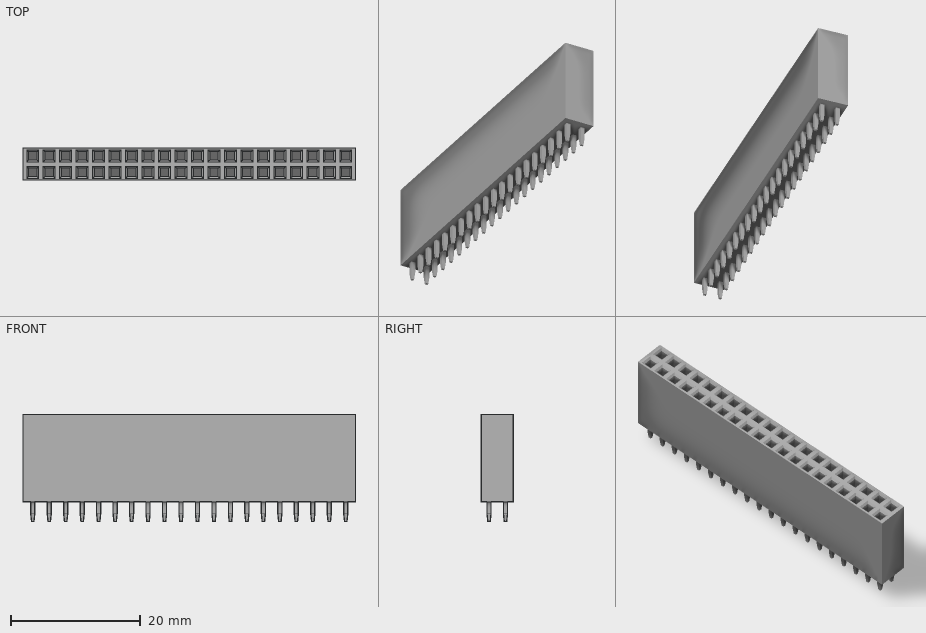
import cadquery as cq

body_length = 51.3
body_width = 5.0
body_height = 13.5

columns = 20
rows = 2
pitch = 2.54

mouth_size = 1.85
well_size = 1.3
funnel_depth = 0.3
well_depth = 8.2

pin_size = 0.65
tip_size = 0.4
pin_length = 3.05
tip_length = 1.25
shank_length = pin_length - tip_length


def contact_grid(height):
    """Workplane at the given height with one point per contact."""
    return cq.Workplane("XY", origin=(0, 0, height)).rarray(pitch, pitch, columns, rows)


def square_frustum(top_size, bottom_size, depth):
    """Square frustum hanging down from the origin."""
    return (
        cq.Workplane("XY")
        .rect(top_size, top_size)
        .workplane(offset=-depth)
        .rect(bottom_size, bottom_size)
        .loft(ruled=True)
    )


def square_bar(size, depth):
    """Straight square bar hanging down from the origin."""
    return cq.Workplane("XY").rect(size, size).extrude(-depth)


def make_socket():
    funnel = square_frustum(mouth_size, well_size, funnel_depth)
    well = square_bar(well_size, well_depth)
    return funnel.union(well).val()


def make_pin():
    shank = square_bar(pin_size, shank_length)
    tip = square_frustum(pin_size, tip_size, tip_length).translate((0, 0, -shank_length))
    return shank.union(tip).val()


socket = make_socket()
pin = make_pin()

body = cq.Workplane("XY").box(body_length, body_width, body_height, centered=(True, True, False))
sockets = contact_grid(body_height).eachpoint(lambda place: socket.moved(place))
pins = contact_grid(0).eachpoint(lambda place: pin.moved(place))

result = body.cut(sockets).union(pins)